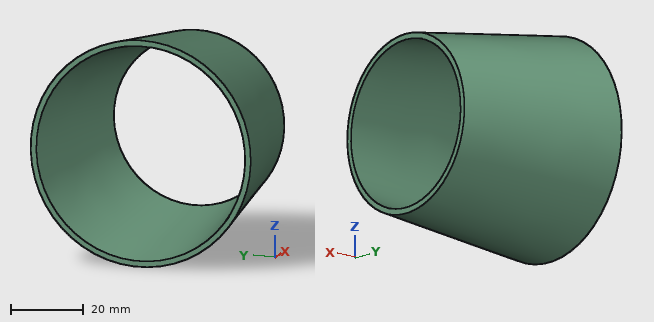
import cadquery as cq

length = 50.8
wide_diameter = 63.5
narrow_diameter = 50.8
wall = 1.65

wide_radius = wide_diameter / 2
narrow_radius = narrow_diameter / 2

wall_section = (
    cq.Workplane("XZ")
    .moveTo(-length / 2, wide_radius)
    .lineTo(length / 2, narrow_radius)
    .lineTo(length / 2, narrow_radius - wall)
    .lineTo(-length / 2, wide_radius - wall)
    .close()
)

result = wall_section.revolve(360, (0, 0, 0), (1, 0, 0))